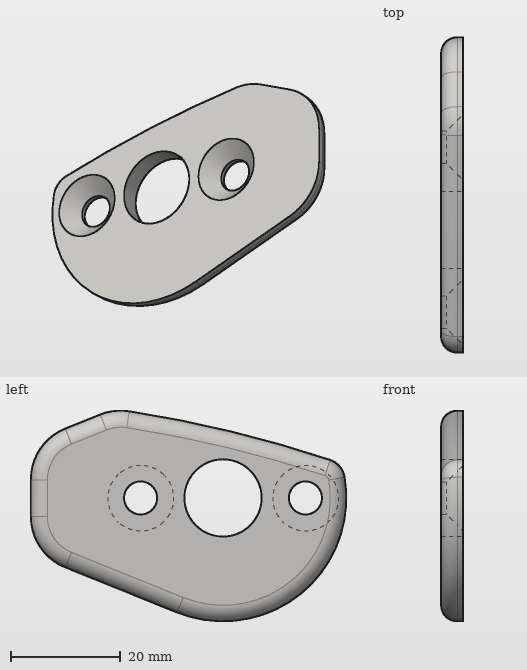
import cadquery as cq
import math

length = 57.5
thickness = 4.0
edge_round = 3.0
nose_radius = 22.5
height = 38.4
end_radius = 10.0
tip_radius = 4.0
flank_angle = math.radians(22)
top_edge_radius = 224.8
top_edge_tilt = math.radians(8.8)
centre_hole_diameter = 14.05
side_hole_diameter = 6.0
side_hole_offset = 15.0
side_hole_land = 1.0
countersink_diameter = 11.95


def on_circle(centre, radius, tilt):
    """Point on a circle, with tilt measured from straight up towards the nose."""
    return (centre[0] + radius * math.sin(tilt), centre[1] + radius * math.cos(tilt))


def circle_intersection(first, first_radius, second, second_radius):
    """Intersection of two circles lying to the right of the line from first to second."""
    across = second[0] - first[0]
    up = second[1] - first[1]
    gap = math.hypot(across, up)
    along = (first_radius**2 - second_radius**2 + gap**2) / (2 * gap)
    aside = math.sqrt(first_radius**2 - along**2)
    return (
        first[0] + (along * across + aside * up) / gap,
        first[1] + (along * up - aside * across) / gap,
    )


def tilt_between(start, end):
    """Tilt of the direction from start to end."""
    return math.atan2(end[0] - start[0], end[1] - start[1])


def add_arc(outline, centre, radius, start_tilt, end_tilt):
    """Clockwise arc from the current point."""
    middle = on_circle(centre, radius, (start_tilt + end_tilt) / 2)
    return outline.threePointArc(middle, on_circle(centre, radius, end_tilt))


nose_centre = (0.0, 0.0)
flank_offset = nose_radius - end_radius
flat_end = nose_radius - length

end_across = flat_end + end_radius
end_up = (flank_offset + end_across * math.sin(flank_angle)) / math.cos(flank_angle)
upper_end_centre = (end_across, end_up)
lower_end_centre = (end_across, -end_up)

crest_up = height - nose_radius - end_radius
crest_across = (crest_up * math.cos(flank_angle) - flank_offset) / math.sin(flank_angle)
crest_centre = (crest_across, crest_up)

top_edge_centre = on_circle(crest_centre, end_radius - top_edge_radius, top_edge_tilt)
tip_centre = circle_intersection(
    top_edge_centre, top_edge_radius - tip_radius, nose_centre, nose_radius - tip_radius
)
tip_start_tilt = tilt_between(top_edge_centre, tip_centre)
tip_end_tilt = tilt_between(nose_centre, tip_centre)

quarter_turn = math.pi / 2
lower_flank_tilt = math.pi + flank_angle
plate_plane = cq.Plane(origin=(0, 0, 0), xDir=(0, -1, 0), normal=(-1, 0, 0))
outline = cq.Workplane(plate_plane).moveTo(flat_end, end_up)
outline = add_arc(outline, upper_end_centre, end_radius, -quarter_turn, -flank_angle)
outline = outline.lineTo(*on_circle(crest_centre, end_radius, -flank_angle))
outline = add_arc(outline, crest_centre, end_radius, -flank_angle, top_edge_tilt)
outline = add_arc(outline, top_edge_centre, top_edge_radius, top_edge_tilt, tip_start_tilt)
outline = add_arc(outline, tip_centre, tip_radius, tip_start_tilt, tip_end_tilt)
outline = add_arc(outline, nose_centre, nose_radius, tip_end_tilt, lower_flank_tilt)
outline = outline.lineTo(*on_circle(lower_end_centre, end_radius, lower_flank_tilt))
outline = add_arc(outline, lower_end_centre, end_radius, lower_flank_tilt, 3 * quarter_turn)

plate = outline.close().extrude(thickness).faces("<X").edges().fillet(edge_round)

centre_hole = cq.Workplane(plate_plane).circle(centre_hole_diameter / 2).extrude(thickness)


def side_hole_cutter(across):
    """Through hole, countersunk from the back face."""
    flare_depth = thickness - side_hole_land
    straight = (
        cq.Workplane(plate_plane)
        .center(across, 0)
        .circle(side_hole_diameter / 2)
        .extrude(thickness)
    )
    flare = (
        cq.Workplane(plate_plane)
        .center(across, 0)
        .circle(countersink_diameter / 2)
        .workplane(offset=flare_depth)
        .circle(side_hole_diameter / 2)
        .loft(ruled=True)
    )
    return straight.union(flare)


result = plate.cut(centre_hole)
for side in (-1, 1):
    result = result.cut(side_hole_cutter(side * side_hole_offset))